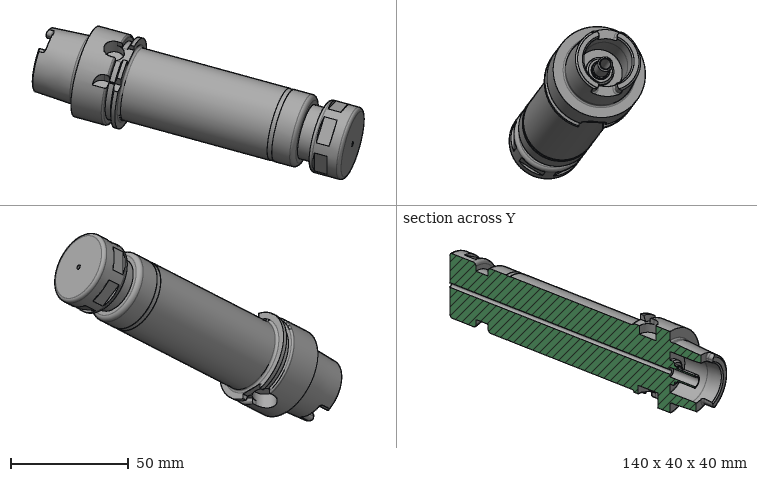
import cadquery as cq
import math

TOTAL_LENGTH = 140.0
FLANGE_START = 19.9
FLANGE_END = 39.8
BODY_END = 119.4
NUT_START = 125.6

TAPER_TIP_RADIUS = 14.1
TAPER_BASE_RADIUS = 15.1
TAPER_END = 17.6
RELIEF_START = 18.5
RELIEF_RADIUS = 15.0
TIP_CHAMFER_LENGTH = 0.5
TIP_CHAMFER_DROP = 0.8
BASE_FILLET = 0.7

FLANGE_RADIUS = 20.0
GROOVE_RADIUS = 17.4
GROOVE_START = 34.5
GROOVE_END = 36.8
GROOVE_EDGE_RADIUS = 0.8
GROOVE_FLANK = 1.1
FLANGE_LAND_RADIUS = 17.1

BODY_RADIUS = 16.0
BODY_EDGE_RADIUS = 2.1
BAND_START = 107.1
BAND_END = 109.2
BAND_RADIUS = 15.8
NECK_DIAMETER = 24.0
NUT_START_EDGE_RADIUS = 1.7
NUT_END_EDGE_RADIUS = 1.5

BORE_RADIUS = 10.0
BORE_MOUTH_RADIUS = 11.2
BORE_MOUTH_LENGTH = 0.5
BORE_CONE_RADIUS = 10.5
BORE_CONE_END = 7.7
BORE_DEPTH = 20.0
TUBE_NUT_START = 17.5
TUBE_NUT_RADIUS = 6.0
TUBE_NUT_CHAMFER = 0.8
TUBE_START = 6.3
TUBE_COLLAR_DIAMETER = 8.0
TUBE_COLLAR_FACE_DIAMETER = 7.5
TUBE_DIAMETER = 6.5
TUBE_NOSE_DIAMETER = 5.0
TUBE_NOSE_LENGTH = 0.4
TUBE_BORE_DIAMETER = 4.5
TUBE_COLLAR_LENGTH = 1.4
COOLANT_HOLE_DIAMETER = 2.0

DRIVE_SLOT_WIDTH = 8.1
UPPER_DRIVE_SLOT_DEPTH = 3.2
LOWER_DRIVE_SLOT_DEPTH = 5.7
DRIVE_SLOT_EDGE_RADIUS = 1.7
DRIVE_SLOT_CORNER_RADIUS = 0.8

KEYWAY_CENTER_X = 32.2
UPPER_KEYWAY_WIDTH = 8.7
LOWER_KEYWAY_WIDTH = 10.6
KEYWAY_FLOOR = 17.0
KEYWAY_HOLE_DEPTH = 4.2

NOTCH_FLOOR = 12.0
NOTCH_RADIUS = 4.0

FLAT_COUNT = 6
FLAT_DISTANCE = 14.8
FLAT_START = 128.1
FLAT_END = 133.8
FLAT_END_SLOPE = 0.3


def turned(profile):
    """Revolve a closed profile, drawn as X against radius, about the X axis."""
    return profile.close().revolve(360, (0, 0, 0), (1, 0, 0))


def make_outside():
    body_fillet = FLANGE_LAND_RADIUS - BODY_RADIUS
    profile = (
        cq.Workplane("XY")
        .moveTo(0, 0)
        .lineTo(0, TAPER_TIP_RADIUS - TIP_CHAMFER_DROP)
        .lineTo(TIP_CHAMFER_LENGTH, TAPER_TIP_RADIUS)
        .lineTo(TAPER_END, TAPER_BASE_RADIUS)
        .lineTo(RELIEF_START, RELIEF_RADIUS)
        .lineTo(FLANGE_START - BASE_FILLET, RELIEF_RADIUS)
        .radiusArc((FLANGE_START, RELIEF_RADIUS + BASE_FILLET), -BASE_FILLET)
        .lineTo(FLANGE_START, FLANGE_RADIUS)
        .lineTo(GROOVE_START - GROOVE_EDGE_RADIUS, FLANGE_RADIUS)
        .radiusArc((GROOVE_START, FLANGE_RADIUS - GROOVE_EDGE_RADIUS), GROOVE_EDGE_RADIUS)
        .lineTo(GROOVE_START, GROOVE_RADIUS)
        .lineTo(GROOVE_END, GROOVE_RADIUS)
        .lineTo(GROOVE_END + GROOVE_FLANK, FLANGE_RADIUS)
        .lineTo(FLANGE_END, FLANGE_RADIUS)
        .lineTo(FLANGE_END, FLANGE_LAND_RADIUS)
        .radiusArc((FLANGE_END + body_fillet, BODY_RADIUS), -body_fillet)
        .lineTo(BAND_START, BODY_RADIUS)
        .lineTo(BAND_START, BAND_RADIUS)
        .lineTo(BAND_END, BAND_RADIUS)
        .lineTo(BAND_END, BODY_RADIUS)
        .lineTo(BODY_END - BODY_EDGE_RADIUS, BODY_RADIUS)
        .radiusArc((BODY_END, BODY_RADIUS - BODY_EDGE_RADIUS), BODY_EDGE_RADIUS)
        .lineTo(BODY_END, NECK_DIAMETER / 2)
        .lineTo(NUT_START, NECK_DIAMETER / 2)
        .lineTo(NUT_START, BODY_RADIUS - NUT_START_EDGE_RADIUS)
        .radiusArc((NUT_START + NUT_START_EDGE_RADIUS, BODY_RADIUS), NUT_START_EDGE_RADIUS)
        .lineTo(TOTAL_LENGTH - NUT_END_EDGE_RADIUS, BODY_RADIUS)
        .radiusArc((TOTAL_LENGTH, BODY_RADIUS - NUT_END_EDGE_RADIUS), NUT_END_EDGE_RADIUS)
        .lineTo(TOTAL_LENGTH, 0)
    )
    return turned(profile)


def make_bore():
    """Space inside the shank around and within the coolant tube."""
    collar_start = TUBE_NUT_START - TUBE_COLLAR_LENGTH
    collar_chamfer = (TUBE_COLLAR_DIAMETER - TUBE_COLLAR_FACE_DIAMETER) / 2
    profile = (
        cq.Workplane("XY")
        .moveTo(0, 0)
        .lineTo(0, BORE_MOUTH_RADIUS)
        .lineTo(BORE_MOUTH_LENGTH, BORE_CONE_RADIUS)
        .lineTo(BORE_CONE_END, BORE_RADIUS)
        .lineTo(BORE_DEPTH, BORE_RADIUS)
        .lineTo(BORE_DEPTH, TUBE_NUT_RADIUS)
        .lineTo(TUBE_NUT_START + TUBE_NUT_CHAMFER, TUBE_NUT_RADIUS)
        .lineTo(TUBE_NUT_START, TUBE_NUT_RADIUS - TUBE_NUT_CHAMFER)
        .lineTo(TUBE_NUT_START, TUBE_COLLAR_DIAMETER / 2)
        .lineTo(collar_start + collar_chamfer, TUBE_COLLAR_DIAMETER / 2)
        .lineTo(collar_start, TUBE_COLLAR_FACE_DIAMETER / 2)
        .lineTo(collar_start, TUBE_DIAMETER / 2)
        .lineTo(TUBE_START + TUBE_NOSE_LENGTH, TUBE_DIAMETER / 2)
        .lineTo(TUBE_START, TUBE_NOSE_DIAMETER / 2)
        .lineTo(TUBE_START, TUBE_BORE_DIAMETER / 2)
        .lineTo(BORE_DEPTH, TUBE_BORE_DIAMETER / 2)
        .lineTo(BORE_DEPTH, 0)
    )
    return turned(profile)


def make_drive_slot(depth, side):
    """Slot across one wall of the shank tip; side is 1 for +Z and -1 for -Z.

    The slot flares outward so that its walls round over tangentially into the shank surface.
    """
    half_width = DRIVE_SLOT_WIDTH / 2
    round_y = half_width + DRIVE_SLOT_EDGE_RADIUS
    round_distance = TAPER_TIP_RADIUS - DRIVE_SLOT_EDGE_RADIUS
    round_z = math.sqrt(round_distance**2 - round_y**2)
    flare_y = round_y * TAPER_TIP_RADIUS / round_distance
    flare_z = round_z * TAPER_TIP_RADIUS / round_distance
    slot = (
        cq.Workplane("YZ")
        .moveTo(-half_width, 0)
        .lineTo(-half_width, round_z)
        .radiusArc((-flare_y, flare_z), -DRIVE_SLOT_EDGE_RADIUS)
        .lineTo(-flare_y, FLANGE_RADIUS)
        .lineTo(flare_y, FLANGE_RADIUS)
        .lineTo(flare_y, flare_z)
        .radiusArc((half_width, round_z), -DRIVE_SLOT_EDGE_RADIUS)
        .lineTo(half_width, 0)
        .close()
        .extrude(depth)
        .faces(">X")
        .edges()
        .fillet(DRIVE_SLOT_CORNER_RADIUS)
    )
    if side < 0:
        slot = slot.mirror("XY")
    return slot


def make_keyway(width, side):
    """Round-ended keyway with a deeper hole; side is 1 for +Z and -1 for -Z."""
    hole_floor = KEYWAY_FLOOR - KEYWAY_HOLE_DEPTH
    hole = (
        cq.Workplane("XY", origin=(KEYWAY_CENTER_X, 0, hole_floor))
        .circle(width / 2)
        .extrude(FLANGE_RADIUS - hole_floor)
    )
    channel = cq.Workplane("XY", origin=(KEYWAY_CENTER_X, 0, KEYWAY_FLOOR)).box(
        FLANGE_END - KEYWAY_CENTER_X, width, FLANGE_RADIUS - KEYWAY_FLOOR, centered=(False, True, False)
    )
    keyway = hole.union(channel)
    if side < 0:
        keyway = keyway.mirror("XY")
    return keyway


def make_notch():
    center_y = -(NOTCH_FLOOR + NOTCH_RADIUS)
    height = FLANGE_RADIUS - NOTCH_FLOOR
    plane = cq.Workplane("XY", origin=(KEYWAY_CENTER_X, center_y, NOTCH_FLOOR))
    end = plane.circle(NOTCH_RADIUS).extrude(height)
    channel = plane.box(FLANGE_END - KEYWAY_CENTER_X, 2 * NOTCH_RADIUS, height, centered=(False, True, False))
    return end.union(channel)


def make_flat(angle):
    """Wrench flat with sloping ends, turned by an angle about the X axis from -Y."""
    rise = BODY_RADIUS - FLAT_DISTANCE
    run = FLAT_END_SLOPE * rise
    return (
        cq.Workplane("XY")
        .moveTo(FLAT_START, -FLAT_DISTANCE)
        .lineTo(FLAT_END, -FLAT_DISTANCE)
        .lineTo(FLAT_END + run, -BODY_RADIUS)
        .lineTo(FLAT_START - run, -BODY_RADIUS)
        .close()
        .extrude(BODY_RADIUS / 2, both=True)
        .rotate((0, 0, 0), (1, 0, 0), angle)
    )


def make_coolant_hole():
    return cq.Workplane("YZ").circle(COOLANT_HOLE_DIAMETER / 2).extrude(TOTAL_LENGTH)


holder = make_outside().cut(make_bore())
holder = holder.cut(make_drive_slot(UPPER_DRIVE_SLOT_DEPTH, 1))
holder = holder.cut(make_drive_slot(LOWER_DRIVE_SLOT_DEPTH, -1))
holder = holder.cut(make_keyway(UPPER_KEYWAY_WIDTH, 1))
holder = holder.cut(make_keyway(LOWER_KEYWAY_WIDTH, -1))
holder = holder.cut(make_notch())
for i in range(FLAT_COUNT):
    holder = holder.cut(make_flat(i * 360 / FLAT_COUNT))
result = holder.cut(make_coolant_hole())